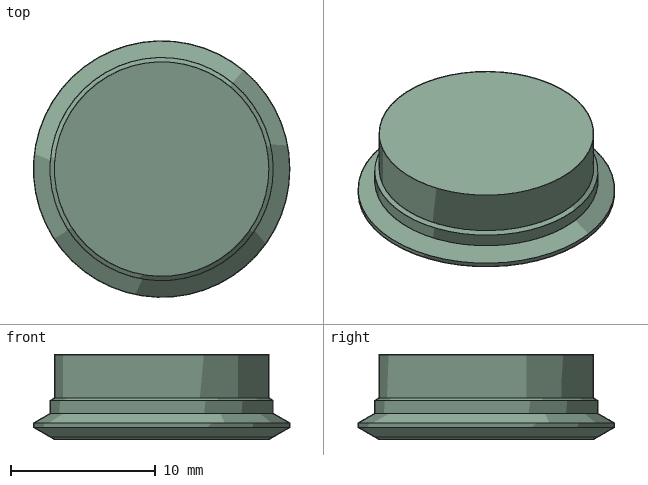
import cadquery as cq
import math

plug_diameter = 14.8
collar_diameter = 15.4
ring_diameter = 17.7
total_height = 5.85
collar_top = 2.87
ring_rim_height = 0.3
bevel_angle = 30.0

plug_radius = plug_diameter / 2
collar_radius = collar_diameter / 2
ring_radius = ring_diameter / 2
bevel_slope = math.tan(math.radians(bevel_angle))
collar_bevel_height = (collar_radius - plug_radius) * bevel_slope
ring_bevel_height = (ring_radius - collar_radius) * bevel_slope

ring_bottom = collar_bevel_height
rim_bottom = ring_bottom + ring_bevel_height
rim_top = rim_bottom + ring_rim_height
ring_top = rim_top + ring_bevel_height


def revolve_profile(points):
    """Turn a closed (radius, height) outline around the Z axis."""
    return cq.Workplane("XZ").polyline(points).close().revolve(360, (0, 0), (0, 1))


def make_core():
    """Solid plug with a wider collar, bevelled above and below."""
    return revolve_profile([
        (0, 0),
        (plug_radius, 0),
        (collar_radius, collar_bevel_height),
        (collar_radius, collar_top - collar_bevel_height),
        (plug_radius, collar_top),
        (plug_radius, total_height),
        (0, total_height),
    ])


def make_ring():
    """Outer ring around the collar, tapering outward to a narrow rim."""
    return revolve_profile([
        (collar_radius, ring_bottom),
        (ring_radius, rim_bottom),
        (ring_radius, rim_top),
        (collar_radius, ring_top),
    ])


core = make_core()
ring = make_ring()
result = cq.Compound.makeCompound([core.val(), ring.val()])